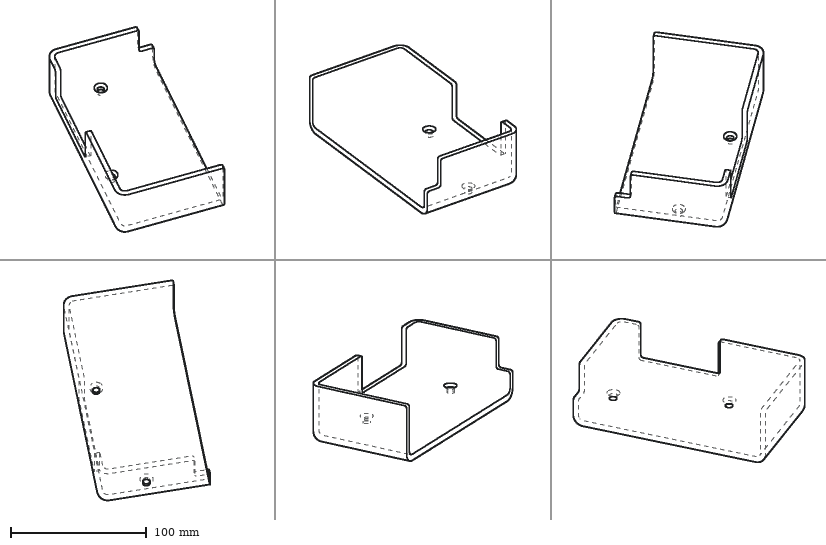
import cadquery as cq

length = 153.0
depth = 83.5
height = 46.0

wall = 4.0
floor_thickness = 5.0
outer_radius = 2 * wall
inner_radius = outer_radius - wall
edge_radius = wall / 2

front_opening_left = 19.9
front_opening_right = 83.2
front_opening_floor = 16.0

side_step_depth = 12.0
side_step_floor = 22.0

hole_diameter = 5.5
countersink_diameter = 9.6
countersink_angle = 90
hole_centers = [(13.3, 38.0), (96.4, 15.5)]


def rounded_block(inset, bottom, radius):
    """Block with rounded floor and front edges, flat at the rear and top."""
    block = cq.Workplane("XY").box(
        length - 2 * inset, depth - inset, height - bottom, centered=False
    )
    block = block.edges("(<Z or (|Z and <Y)) exc (<Z and >Y)").fillet(radius)
    return block.translate((inset, inset, bottom))


def front_opening_cutter():
    """Prism for the front opening, with rounded floor corners and flared top corners."""
    left, right, floor = front_opening_left, front_opening_right, front_opening_floor
    r = edge_radius
    profile = (
        cq.Workplane("XZ")
        .moveTo(left - r, height)
        .radiusArc((left, height - r), r)
        .lineTo(left, floor + r)
        .radiusArc((left + r, floor), -r)
        .lineTo(right - r, floor)
        .radiusArc((right, floor + r), -r)
        .lineTo(right, height - r)
        .radiusArc((right + r, height), r)
        .close()
    )
    return profile.extrude(-wall)


def wall_profile(x):
    """Sketch plane across a side wall at the given X."""
    return cq.Workplane("YZ", origin=(x, 0, 0))


def side_step_cutter():
    """Prism for the step in the left wall, rounded at its three corners."""
    front, floor = depth - side_step_depth, side_step_floor
    r = edge_radius
    profile = (
        wall_profile(0)
        .moveTo(front - r, height)
        .radiusArc((front, height - r), r)
        .lineTo(front, floor + r)
        .radiusArc((front + r, floor), -r)
        .lineTo(depth - r, floor)
        .radiusArc((depth, floor - r), r)
        .lineTo(depth, height)
        .close()
    )
    return profile.extrude(wall)


def right_corner_cutter():
    """Rounds the top rear corner of the right wall."""
    r = edge_radius
    profile = (
        wall_profile(length - wall)
        .moveTo(depth - r, height)
        .radiusArc((depth, height - r), r)
        .lineTo(depth, height)
        .close()
    )
    return profile.extrude(wall)


tray = rounded_block(0, 0, outer_radius).cut(rounded_block(wall, floor_thickness, inner_radius))
tray = tray.cut(front_opening_cutter())
tray = tray.cut(side_step_cutter())
tray = tray.cut(right_corner_cutter())

floor_plane = cq.Workplane("XY", origin=(0, 0, floor_thickness))
result = tray.copyWorkplane(floor_plane).pushPoints(hole_centers).cskHole(
    hole_diameter, countersink_diameter, countersink_angle
)